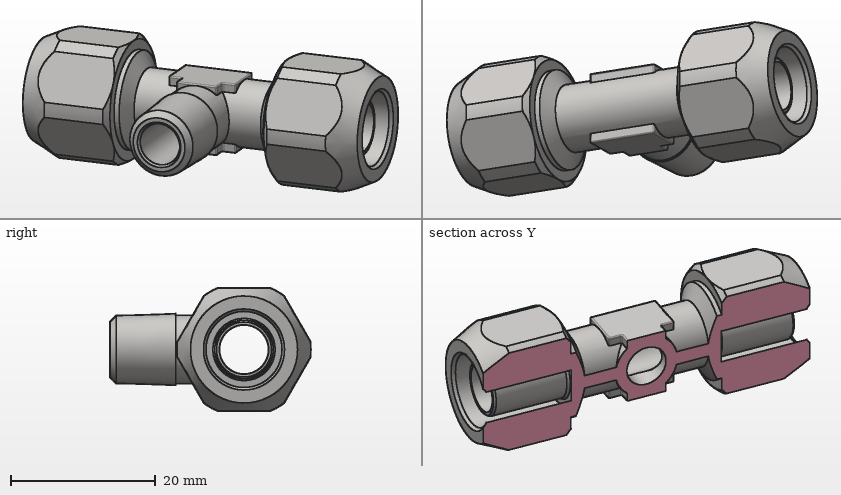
import cadquery as cq
import math

overall_length = 50.0
pipe_radius = 4.75
run_bore_radius = 3.38

nut_length = 13.5
nut_across_flats = 17.0
nut_corner_radius = 9.25
nut_nose_angle = 25.0
nut_flat_start = 2.37
nut_flat_radius = nut_across_flats / 2
nut_back_chamfer = nut_corner_radius - nut_flat_radius

collar_radius = 7.0
collar_width = 0.75
collar_cone_angle = 60.0

socket_radius = 5.25
socket_mouth_radius = 5.6
socket_mouth_depth = 0.5
sleeve_recess = 2.0
sleeve_tip_radius = 3.8
sleeve_radius = 4.05
sleeve_nose_length = 0.3
sleeve_root_radius = 4.3
sleeve_root_length = 0.4

branch_reach = 18.5
branch_radius = 4.75
thread_length = 9.05
thread_start_radius = 4.97
thread_taper = 1 / 16
thread_chamfer = 0.85
branch_bore_radius = 2.95
branch_bore_chamfer = 0.3

pad_width = 10.0
pad_back = 3.0
pad_shoulder = -3.0
pad_stem_width = 6.0
pad_stem_end = -5.0
pad_half_height = 5.0
pad_fillet = 0.2

end_x = overall_length / 2
nut_back_x = end_x - nut_length


def revolve_about_x(points):
    """Turn a closed (x, radius) outline about the X axis."""
    return cq.Workplane("XY").polyline(points).close().revolve(360, (0, 0, 0), (1, 0, 0))


def make_nut():
    """Hexagon nut on the +X end, its corners turned to a cylinder and coned at both ends."""
    slope = math.tan(math.radians(nut_nose_angle))
    face_radius = nut_flat_radius - nut_flat_start * slope
    nose_length = (nut_corner_radius - face_radius) / slope
    envelope = revolve_about_x([
        (nut_back_x, 0),
        (nut_back_x, nut_flat_radius),
        (nut_back_x + nut_back_chamfer, nut_corner_radius),
        (end_x - nose_length, nut_corner_radius),
        (end_x, face_radius),
        (end_x, 0),
    ])
    across_corners = nut_across_flats / math.cos(math.pi / 6)
    hexagon = cq.Workplane("YZ").workplane(offset=nut_back_x).polygon(6, across_corners).extrude(nut_length)
    return hexagon.intersect(envelope)


def make_collar():
    """Collar behind the +X nut, coned down to the pipe."""
    collar_x = nut_back_x - collar_width
    cone_length = (collar_radius - pipe_radius) / math.tan(math.radians(collar_cone_angle))
    return revolve_about_x([
        (collar_x - cone_length, 0),
        (collar_x - cone_length, pipe_radius),
        (collar_x, collar_radius),
        (nut_back_x, collar_radius),
        (nut_back_x, 0),
    ])


def make_socket():
    """Annular tube socket in the +X nut, leaving the sleeve standing inside it."""
    tip_x = end_x - sleeve_recess
    return revolve_about_x([
        (end_x, 0),
        (end_x, socket_mouth_radius),
        (end_x - socket_mouth_depth, socket_radius),
        (nut_back_x, socket_radius),
        (nut_back_x, sleeve_root_radius),
        (nut_back_x + sleeve_root_length, sleeve_radius),
        (tip_x - sleeve_nose_length, sleeve_radius),
        (tip_x, sleeve_tip_radius),
        (tip_x, 0),
    ])


def make_branch():
    """Plain neck and tapered thread blank along -Y."""
    thread_y = -branch_reach + thread_length
    chamfer_y = -branch_reach + thread_chamfer
    chamfer_radius = thread_start_radius - (thread_length - thread_chamfer) * thread_taper / 2
    outline = [
        (0, 0),
        (branch_radius, 0),
        (branch_radius, thread_y),
        (thread_start_radius, thread_y),
        (chamfer_radius, chamfer_y),
        (chamfer_radius - thread_chamfer, -branch_reach),
        (0, -branch_reach),
    ]
    return cq.Workplane("XY").polyline(outline).close().revolve(360, (0, 0, 0), (0, 1, 0))


def make_branch_bore():
    """Bore of the branch from its chamfered mouth to the run axis."""
    outline = [
        (0, 0),
        (branch_bore_radius, 0),
        (branch_bore_radius, -branch_reach + branch_bore_chamfer),
        (branch_bore_radius + branch_bore_chamfer, -branch_reach),
        (0, -branch_reach),
    ]
    return cq.Workplane("XY").polyline(outline).close().revolve(360, (0, 0, 0), (0, 1, 0))


def make_pads():
    """T-shaped block through the junction that leaves a flat pad above and below it."""
    half_width = pad_width / 2
    half_stem = pad_stem_width / 2
    outline = [
        (-half_width, pad_back),
        (half_width, pad_back),
        (half_width, pad_shoulder),
        (half_stem, pad_shoulder),
        (half_stem, pad_stem_end),
        (-half_stem, pad_stem_end),
        (-half_stem, pad_shoulder),
        (-half_width, pad_shoulder),
    ]
    block = cq.Workplane("XY").polyline(outline).close().extrude(pad_half_height, both=True)
    block = block.edges("|Z").fillet(pad_fillet)
    return block.faces("<Z or >Z").edges().fillet(pad_fillet)


pipe = cq.Workplane("YZ").circle(pipe_radius).extrude(nut_back_x, both=True)
run_bore = cq.Workplane("YZ").circle(run_bore_radius).extrude(end_x, both=True)

result = pipe.union(make_branch()).union(make_pads())
for feature in (make_collar(), make_nut()):
    result = result.union(feature).union(feature.mirror("YZ"))
for cutter in (make_socket(), make_socket().mirror("YZ"), run_bore, make_branch_bore()):
    result = result.cut(cutter)